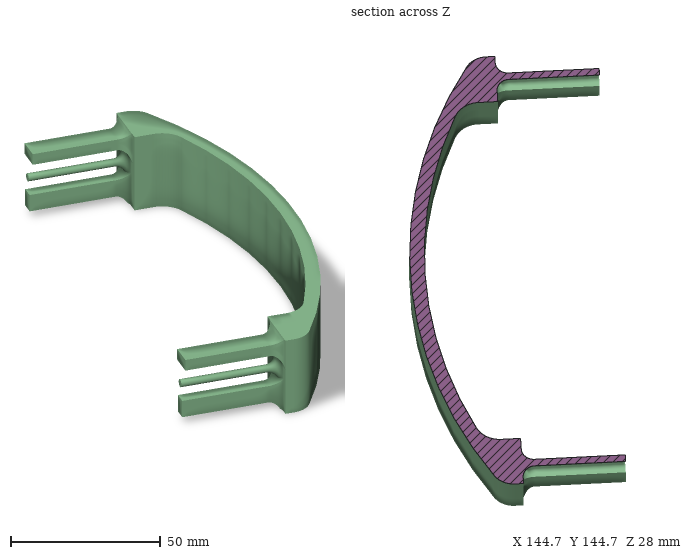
import cadquery as cq
import math

height = 28.0
outer_radius = 149.2
wall = 5.0
inner_radius = outer_radius - wall
apex_y = 45.2
arc_center_y = apex_y - outer_radius

foot_face_y = 11.9
foot_outer_x = 84.1
foot_inner_x = 66.2
tip_radius = 8.0
throat_radius = 8.7

prong_x = 76.0
flare_radius = 4.0
root_overlap = 1.5
upper_width = 8.1
upper_bottom = 20.7
upper_top = 24.8
upper_end_y = -22.3
lower_width = 4.3
lower_bottom = 2.0
lower_top = 8.3
pin_radius = 1.38
pin_z = 13.9
lower_end_y = -22.7

bow_turn = -45.0


def rounding_center_y(center_x, center_distance):
    """Height of a rounding centre at a given distance from the bow centre."""
    return arc_center_y + math.sqrt(center_distance**2 - center_x**2)


def on_bow(center_x, center_y, center_distance, bow_radius):
    """Point where a rounding touches a bow arc."""
    ratio = bow_radius / center_distance
    return center_x * ratio, arc_center_y + (center_y - arc_center_y) * ratio


def arc_middle(center_x, center_y, radius, touch):
    """Middle of a rounding arc from its horizontal side point to touch."""
    end_angle = math.atan2(touch[1] - center_y, touch[0] - center_x)
    x_reach = radius * math.cos(end_angle / 2)
    return center_x + x_reach, center_y + radius * math.sin(end_angle / 2)


def mirrored(point):
    return -point[0], point[1]


def make_bow():
    tip_distance = outer_radius - tip_radius
    tip_x = foot_outer_x - tip_radius
    tip_y = rounding_center_y(tip_x, tip_distance)
    tip_touch = on_bow(tip_x, tip_y, tip_distance, outer_radius)
    tip_middle = arc_middle(tip_x, tip_y, tip_radius, tip_touch)

    throat_distance = inner_radius - throat_radius
    throat_x = foot_inner_x - throat_radius
    throat_y = rounding_center_y(throat_x, throat_distance)
    throat_touch = on_bow(throat_x, throat_y, throat_distance, inner_radius)
    throat_middle = arc_middle(throat_x, throat_y, throat_radius, throat_touch)

    return (
        cq.Workplane("XY")
        .moveTo(foot_inner_x, foot_face_y)
        .lineTo(foot_outer_x, foot_face_y)
        .lineTo(foot_outer_x, tip_y)
        .threePointArc(tip_middle, tip_touch)
        .threePointArc((0, apex_y), mirrored(tip_touch))
        .threePointArc(mirrored(tip_middle), (-foot_outer_x, tip_y))
        .lineTo(-foot_outer_x, foot_face_y)
        .lineTo(-foot_inner_x, foot_face_y)
        .lineTo(-foot_inner_x, throat_y)
        .threePointArc(mirrored(throat_middle), mirrored(throat_touch))
        .threePointArc((0, apex_y - wall), throat_touch)
        .threePointArc(throat_middle, (foot_inner_x, throat_y))
        .close()
        .extrude(height)
    )


def flared_profile(plane, half_width, end_y):
    """Half-width against Y, widening in a concave arc at the foot face.

    Local Y of the plane is the global Y axis.
    """
    flare_y = foot_face_y - flare_radius
    root_y = foot_face_y + root_overlap
    wide = half_width + flare_radius
    arc_inset = flare_radius * math.sqrt(0.5)
    middle_x = wide - arc_inset
    middle_y = flare_y + arc_inset
    return (
        plane.moveTo(0, end_y)
        .lineTo(half_width, end_y)
        .lineTo(half_width, flare_y)
        .threePointArc((middle_x, middle_y), (wide, foot_face_y))
        .lineTo(wide, root_y)
        .lineTo(0, root_y)
        .close()
    )


def flared_slab(plane, half_width, end_y):
    """Both halves of the flared profile, thick enough to span a prong."""
    half = flared_profile(plane, half_width, end_y).extrude(height, both=True)
    return half.union(half.rotate((0, 0, 0), (0, 1, 0), 180))


def make_blade(width, bottom, top, end_y):
    """Rectangular prong whose flared sides meet in mitres."""
    across = flared_slab(cq.Workplane("XY"), width / 2, end_y)
    upright_plane = cq.Workplane(cq.Plane((0, 0, 0), xDir=(0, 0, 1), normal=(-1, 0, 0)))
    upright = flared_slab(upright_plane, (top - bottom) / 2, end_y)
    return across.intersect(upright).translate((0, 0, (bottom + top) / 2))


def make_pin():
    profile = flared_profile(cq.Workplane("XY"), pin_radius, lower_end_y)
    return profile.revolve(360, (0, 0), (0, 1)).translate((0, 0, pin_z))


def make_prongs():
    upper = make_blade(upper_width, upper_bottom, upper_top, upper_end_y)
    lower = make_blade(lower_width, lower_bottom, lower_top, lower_end_y)
    prongs = upper.union(lower).union(make_pin())
    depth = foot_face_y + root_overlap - lower_end_y
    limits = (
        cq.Workplane("XY")
        .box(2 * (foot_outer_x - prong_x), depth, height, centered=(True, False, False))
        .translate((0, lower_end_y, 0))
    )
    return prongs.intersect(limits)


handle = make_bow()
prongs = make_prongs()
for x in (-prong_x, prong_x):
    handle = handle.union(prongs.translate((x, 0, 0)))

result = handle.rotate((0, 0, 0), (0, 0, 1), bow_turn)